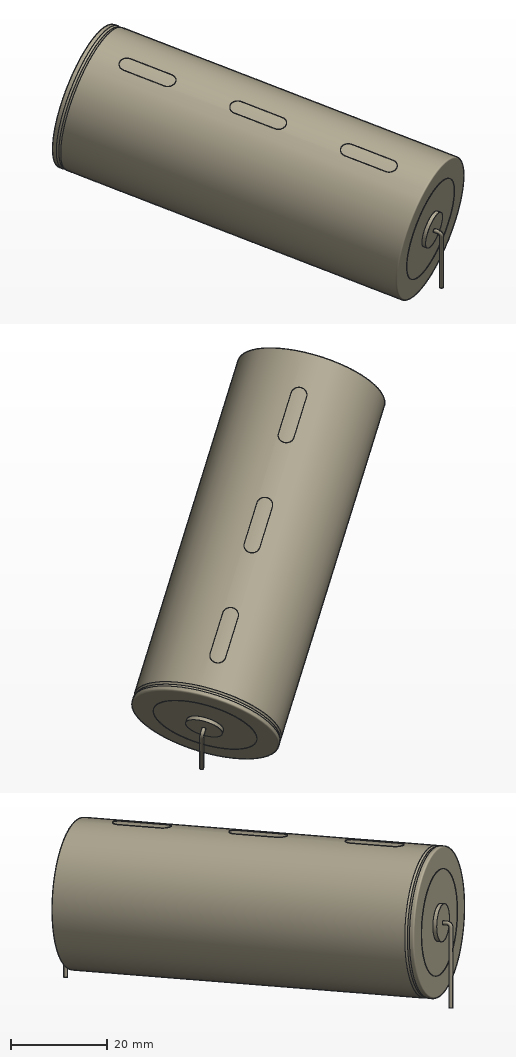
import cadquery as cq

overall_length = 85.9
can_diameter = 31.95
can_length = 80.1
can_radius = can_diameter / 2
can_end = can_length / 2
can_edge_fillet = 0.35

recess_diameter = 22.5
recess_depth = 0.1

groove_width = 1.0
groove_depth = 0.2
groove_offset = 1.55

disc_diameter = 8.0
disc_height = 0.8

lead_diameter = 0.9
lead_bend_radius = 0.9
lead_bottom = -18.0
lead_x = (overall_length - lead_diameter) / 2

mark_length = 12.8
mark_width = 3.35
mark_spacing = 25.7
mark_depth = 0.1
mark_count = 3


def disc(diameter, x_start, x_end):
    """Cylinder on the X axis between two X positions."""
    return cq.Workplane("YZ", origin=(x_start, 0, 0)).circle(diameter / 2).extrude(x_end - x_start)


def make_can():
    """Can with rounded end edges, a V groove and end recesses."""
    groove_centre = -can_end + groove_offset
    groove_half = groove_width / 2
    can = (
        cq.Workplane("XY")
        .moveTo(-can_end, 0)
        .lineTo(-can_end, can_radius - can_edge_fillet)
        .tangentArcPoint((-can_end + can_edge_fillet, can_radius), relative=False)
        .lineTo(groove_centre - groove_half, can_radius)
        .lineTo(groove_centre, can_radius - groove_depth)
        .lineTo(groove_centre + groove_half, can_radius)
        .lineTo(can_end - can_edge_fillet, can_radius)
        .tangentArcPoint((can_end, can_radius - can_edge_fillet), relative=False)
        .lineTo(can_end, 0)
        .close()
        .revolve(360, (0, 0, 0), (1, 0, 0))
    )
    for side in (-1, 1):
        can = can.cut(disc(recess_diameter, side * (can_end - recess_depth), side * can_end))
    return can


def make_mark(x):
    """Slot-shaped cutter that reaches a constant depth below the can surface."""
    slot = (
        cq.Workplane("XY")
        .center(x, 0)
        .slot2D(mark_length, mark_width)
        .extrude(can_diameter)
    )
    core = disc(can_diameter - 2 * mark_depth, -can_end, can_end)
    return slot.cut(core)


def make_terminal(side):
    """Terminal disc and its downward bent lead; side is -1 or +1 along X."""
    disc_face = side * (can_end + disc_height)
    cap = disc(disc_diameter, side * (can_end - recess_depth), disc_face)
    path = (
        cq.Workplane("XZ")
        .moveTo(side * can_end, 0)
        .lineTo(side * (lead_x - lead_bend_radius), 0)
        .tangentArcPoint((side * lead_x, -lead_bend_radius), relative=False)
        .lineTo(side * lead_x, lead_bottom)
    )
    lead = cq.Workplane("YZ", origin=(side * can_end, 0, 0)).circle(lead_diameter / 2).sweep(path)
    return cap.union(lead)


result = make_can()
for index in range(mark_count):
    result = result.cut(make_mark((index - (mark_count - 1) / 2) * mark_spacing))
for end_side in (-1, 1):
    result = result.union(make_terminal(end_side))